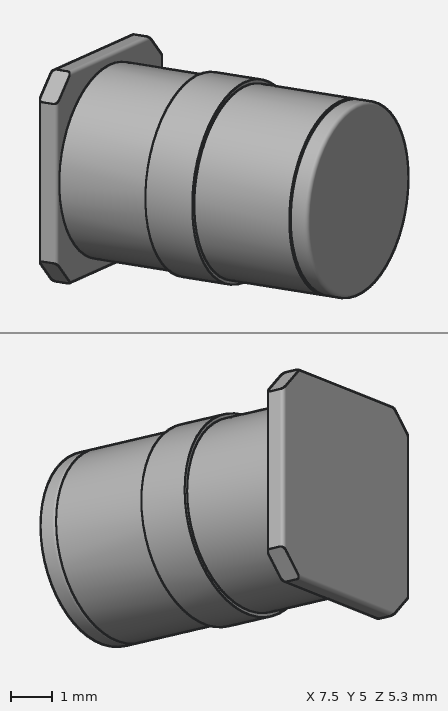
import cadquery as cq

TOTAL_LENGTH = 7.5

END_THICKNESS = 0.525
EDGE_RADIUS = 0.1

PLATE_WIDTH = 5.0
PLATE_HEIGHT = 5.3
CORNER_CUT = 0.66

BARREL_DIAMETER = 4.8
COLLAR_DIAMETER = PLATE_WIDTH
COLLAR_START = 3.0
COLLAR_LENGTH = 1.31

COLLAR_END = COLLAR_START + COLLAR_LENGTH
CAP_START = TOTAL_LENGTH - END_THICKNESS


def cylinder(diameter, start, end):
    """Solid cylinder about the X axis between two X positions."""
    return cq.Workplane("YZ", origin=(start, 0, 0)).circle(diameter / 2).extrude(end - start)


def make_base_plate():
    """Plate with rounded front and back rims, then flat cuts across its four corners."""
    plate = cq.Workplane("YZ").rect(PLATE_WIDTH, PLATE_HEIGHT).extrude(END_THICKNESS)
    plate = plate.faces("<X or >X").edges().fillet(EDGE_RADIUS)
    octagon = (
        cq.Workplane("YZ")
        .rect(PLATE_WIDTH, PLATE_HEIGHT)
        .extrude(END_THICKNESS)
        .edges("|X")
        .chamfer(CORNER_CUT)
    )
    return plate.intersect(octagon)


def make_end_cap():
    """Disc with both rims rounded; its inner rim leaves a small groove beside the barrel."""
    return cylinder(BARREL_DIAMETER, CAP_START, TOTAL_LENGTH).edges().fillet(EDGE_RADIUS)


base_plate = make_base_plate()
rear_barrel = cylinder(BARREL_DIAMETER, END_THICKNESS, COLLAR_START)
collar = cylinder(COLLAR_DIAMETER, COLLAR_START, COLLAR_END)
front_barrel = cylinder(BARREL_DIAMETER, COLLAR_END, CAP_START)
end_cap = make_end_cap()

result = cq.Compound.makeCompound([
    base_plate.val(),
    rear_barrel.val(),
    collar.val(),
    front_barrel.val(),
    end_cap.val(),
])